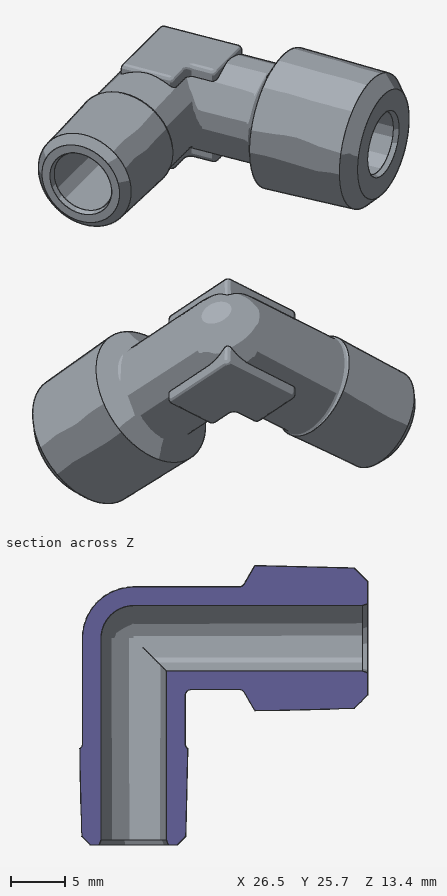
import cadquery as cq
import math

tube_radius = 4.75
bore_radius = 3.0
bore_mouth_radius = 3.18
bore_mouth_depth = 0.5
edge_radius = 0.5
flare_radius = 0.48
shoulder_angle = math.radians(60)
collar_start = 9.72

head_length = 21.5
head_radius = 13.38 / 2
head_front_radius = 6.46
head_chamfer = 1.25

overall_depth = 25.7
spigot_length = overall_depth - head_radius
spigot_radius = tube_radius + flare_radius * (1 - math.cos(shoulder_angle))
spigot_front_radius = 4.8
spigot_chamfer = 0.8

pad_half_width = 2.8
pad_reach = 5.7
rim_radius = edge_radius - 0.005
pad_height = 4.93
corner_half_height = 3.97
pad_base = 1.6


def point_on_flare(angle):
    """Point on the concave rounding at the foot of a collar, as (axial, radial)."""
    axial = collar_start + flare_radius * math.sin(angle)
    radial = tube_radius + flare_radius * (1 - math.cos(angle))
    return axial, radial


def arm_end(length, back_radius, front_radius, chamfer):
    """Tapered threaded end turned about X, with a flared foot and a chamfered tip."""
    flare_end = point_on_flare(shoulder_angle)
    profile = (
        cq.Workplane("XY")
        .moveTo(collar_start, 0)
        .lineTo(collar_start, tube_radius)
        .threePointArc(point_on_flare(shoulder_angle / 2), flare_end)
    )
    if back_radius > flare_end[1]:
        cone_end = flare_end[0] + (back_radius - flare_end[1]) / math.tan(shoulder_angle)
        profile = profile.lineTo(cone_end, back_radius)
    return (
        profile.lineTo(length - chamfer, front_radius)
        .lineTo(length, front_radius - chamfer)
        .lineTo(length, 0)
        .close()
        .revolve(360, (0, 0, 0), (1, 0, 0))
    )


def along_x(radius, length):
    return cq.Workplane("YZ").circle(radius).extrude(length)


def along_minus_y(radius, length):
    return cq.Workplane("XZ").circle(radius).extrude(length)


def elbow(radius, x_length, y_length):
    """Two equal cylinders joined by a ball at the corner."""
    corner = cq.Workplane("XY").sphere(radius)
    return along_x(radius, x_length).union(along_minus_y(radius, y_length)).union(corner)


def inside_corner(tube):
    """Inner quarter of the tube, with the crease between the arms rounded."""
    quarter = (
        cq.Workplane("XY")
        .rect(collar_start, -collar_start, centered=False)
        .extrude(corner_half_height, both=True)
        .intersect(tube)
    )
    return quarter.edges("%ELLIPSE").fillet(edge_radius)


def pad():
    """Upper L-shaped pad with rounded corners and a rounded outer rim."""
    w = pad_half_width
    outline = [(-w, w), (pad_reach, w), (pad_reach, -w), (w, -w), (w, -pad_reach), (-w, -pad_reach)]
    return (
        cq.Workplane("XY", origin=(0, 0, pad_base))
        .polyline(outline)
        .close()
        .extrude(pad_height - pad_base)
        .edges("|Z")
        .fillet(edge_radius)
        .faces(">Z")
        .edges()
        .fillet(rim_radius)
    )


def mouth_cone(length):
    """Countersink cutter for the open end of a bore turned about X."""
    return (
        cq.Workplane("YZ", origin=(length, 0, 0))
        .circle(bore_mouth_radius)
        .workplane(offset=-bore_mouth_depth)
        .circle(bore_radius)
        .loft(ruled=True)
    )


def turn_to_minus_y(shape):
    return shape.rotate((0, 0, 0), (0, 0, 1), -90)


tube = elbow(tube_radius, collar_start, collar_start)
body = tube.union(inside_corner(tube))

body = body.union(arm_end(head_length, head_radius, head_front_radius, head_chamfer))
spigot = arm_end(spigot_length, spigot_radius, spigot_front_radius, spigot_chamfer)
body = body.union(turn_to_minus_y(spigot))

upper_pad = pad()
body = body.union(upper_pad).union(upper_pad.mirror("XY"))

body = body.cut(elbow(bore_radius, head_length, spigot_length))
body = body.cut(mouth_cone(head_length)).cut(turn_to_minus_y(mouth_cone(spigot_length)))

result = body